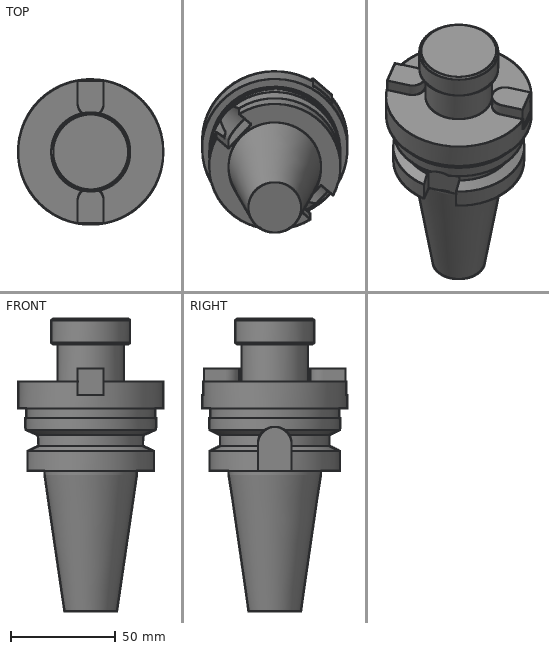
import cadquery as cq

total_height = 140.5

taper_tip_radius = 12.6
taper_gauge_radius = 22.2
taper_length = 65.4
collar_height = 2.1

flange_radius = 31.5
groove_radius = 26.4
lower_ring_height = 9.4
groove_cone_height = 2.5
groove_floor_height = 5.2
upper_ring_height = 5.6

neck_radius = 31.0
neck_height = 4.6
disc_diameter = 69.9
disc_height = 13.0
pilot_radius = 16.0

slot_width = 16.2
slot_height = 21.1
slot_floor_distance = 22.6

key_width = 12.5
key_rise = 6.3
key_depth = 6.5
key_inner_distance = 17.0
key_outer_distance = 34.0

head_radius = 19.0
head_height = 12.5
head_chamfer = 1.0

disc_radius = disc_diameter / 2

flange_bottom = taper_length + collar_height
lower_ring_top = flange_bottom + lower_ring_height
groove_bottom = lower_ring_top + groove_cone_height
groove_top = groove_bottom + groove_floor_height
upper_ring_bottom = groove_top + groove_cone_height
upper_ring_top = upper_ring_bottom + upper_ring_height
disc_bottom = upper_ring_top + neck_height
disc_top = disc_bottom + disc_height
head_bottom = total_height - head_height


def turned_holder():
    """Revolved blank from the taper tip to the top of the pilot."""
    profile = [
        (0, 0),
        (taper_tip_radius, 0),
        (taper_gauge_radius, taper_length),
        (taper_gauge_radius, flange_bottom),
        (flange_radius, flange_bottom),
        (flange_radius, lower_ring_top),
        (groove_radius, groove_bottom),
        (groove_radius, groove_top),
        (flange_radius, upper_ring_bottom),
        (flange_radius, upper_ring_top),
        (neck_radius, upper_ring_top),
        (neck_radius, disc_bottom),
        (disc_radius, disc_bottom),
        (disc_radius, disc_top),
        (pilot_radius, disc_top),
        (pilot_radius, head_bottom),
        (0, head_bottom),
    ]
    return cq.Workplane("XZ").polyline(profile).close().revolve(360, (0, 0), (0, 1))


def flange_slot():
    """Cutter for the slot on the +X side, open outwards and downwards."""
    half_width = slot_width / 2
    arc_start = flange_bottom + slot_height - half_width
    return (
        cq.Workplane("YZ", origin=(slot_floor_distance, 0, 0))
        .moveTo(-half_width, flange_bottom)
        .lineTo(half_width, flange_bottom)
        .lineTo(half_width, arc_start)
        .threePointArc((0, flange_bottom + slot_height), (-half_width, arc_start))
        .close()
        .extrude(disc_radius - slot_floor_distance)
    )


def key_seat():
    """Cutter for the flat on the -Y rim of the face disc, flush with the key end."""
    seat_length = disc_radius - key_outer_distance
    return (
        cq.Workplane("XY", origin=(0, -key_outer_distance - seat_length / 2, disc_top - key_depth))
        .box(key_width, seat_length, key_depth, centered=(True, True, False))
    )


def drive_key():
    """Key on the -Y side with a full round at its inner end."""
    half_width = key_width / 2
    arc_start = -key_inner_distance - half_width
    return (
        cq.Workplane("XY", origin=(0, 0, disc_top - key_depth))
        .moveTo(-half_width, -key_outer_distance)
        .lineTo(half_width, -key_outer_distance)
        .lineTo(half_width, arc_start)
        .threePointArc((0, -key_inner_distance), (-half_width, arc_start))
        .close()
        .extrude(key_depth + key_rise)
    )


def make_holder():
    """Tool holder with two flange slots and two integral drive keys."""
    body = turned_holder()
    for angle in (0, 180):
        body = body.cut(flange_slot().rotate((0, 0, 0), (0, 0, 1), angle))
        body = body.cut(key_seat().rotate((0, 0, 0), (0, 0, 1), angle))
        body = body.union(drive_key().rotate((0, 0, 0), (0, 0, 1), angle))
    return body


def make_screw_head():
    """Chamfered clamping head seated on the end of the pilot."""
    return (
        cq.Workplane("XY", origin=(0, 0, head_bottom))
        .circle(head_radius)
        .extrude(head_height)
        .edges()
        .chamfer(head_chamfer)
    )


holder = make_holder()
screw_head = make_screw_head()

result = cq.Compound.makeCompound([holder.solids().val(), screw_head.val()])